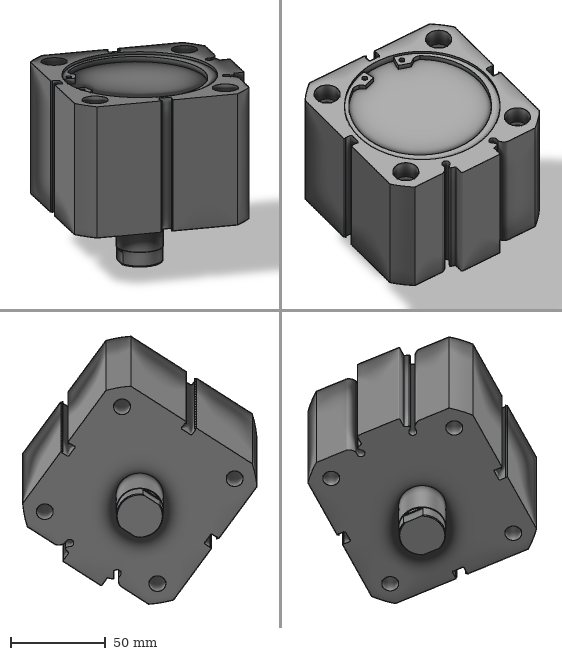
import cadquery as cq
import math

WIDTH = 96.5
HALF = WIDTH / 2
HEIGHT = 72.4
TOTAL_HEIGHT = 102.5
CORNER_RADIUS = 61.9
RAIL_WIDTH = 24.8
RAIL_RISE = 5.5
RAIL_FILLET = 0.6
BORE_RADIUS = 41.0

LIP_TOP = (15.0, 47.3)
LIP_TIP = (15.3, 46.7)
LIP_UNDERSIDE = (15.2, 46.2)
LIP_ROOT = (14.7, 45.4)
GROOVE_X = 15.2
GROOVE_Y = 43.2
GROOVE_RADIUS = 2.0
GROOVE_SHOULDER_Y = 44.7
SHOULDER_MIDDLE = (18.7, 46.9)
SHOULDER_END_X = 21.1

SLOT_WIDTH = 6.7
SLOT_DEPTH = 4.8
SLOT_FILLET = 0.7
MOUTH_WIDTH = 5.1
MOUTH_ROUND = 0.7
LIP_THICKNESS = 0.9

HOLE_PITCH = 72.0
HOLE_DIAMETER = 8.8
COUNTERBORE_DIAMETER = 13.6
COUNTERBORE_DEPTH = 10.2

RING_DEPTH = 1.4
RING_THICKNESS = 2.9
RING_INNER_RADIUS = 37.6
RING_OFFSET = 1.9
EAR_NECK_X = 21.6
EAR_NECK_LOW = (19.5, -33.2)
EAR_NECK_END = (17.4, -32.9)
EAR_OUTER_CORNER = (14.7, -30.9)
EAR_INNER_CORNER = (8.0, -33.2)
EAR_FOOT_X = 9.5
EAR_HOLE = (12.0, -35.6)
EAR_HOLE_DIAMETER = 2.9
COVER_THICKNESS = 10.2

ROD_RADIUS = 12.5
ROD_LENGTH = TOTAL_HEIGHT - HEIGHT
SHANK_LENGTH = 21.7
TIP_RADIUS = 12.3
TIP_CHAMFER_HEIGHT = 0.7
TIP_CHAMFER_WIDTH = 0.4
FLAT_OFFSET = 11.0
FLAT_START = 23.0
FLAT_STEP = 0.6

ring_top = HEIGHT - RING_DEPTH
ring_bottom = ring_top - RING_THICKNESS
cover_bottom = ring_bottom - COVER_THICKNESS


def rail_groove(side):
    """Undercut groove between the rail and the block; side is 1 for +X, -1 for -X."""
    diagonal = GROOVE_RADIUS * math.sqrt(0.5)

    def at(x, y):
        return (side * x, y)

    profile = (
        cq.Workplane("XY")
        .moveTo(*at(RAIL_WIDTH / 2, HALF))
        .lineTo(*at(*LIP_TOP))
        .threePointArc(at(*LIP_TIP), at(*LIP_UNDERSIDE))
        .lineTo(*at(*LIP_ROOT))
        .lineTo(*at(GROOVE_X - diagonal, GROOVE_Y + diagonal))
        .threePointArc(
            at(GROOVE_X - diagonal, GROOVE_Y - diagonal),
            at(GROOVE_X, GROOVE_Y - GROOVE_RADIUS),
        )
        .threePointArc(
            at(GROOVE_X + diagonal, GROOVE_Y - diagonal),
            at(GROOVE_X + GROOVE_RADIUS, GROOVE_Y),
        )
        .lineTo(*at(GROOVE_X + GROOVE_RADIUS, GROOVE_SHOULDER_Y))
        .threePointArc(at(*SHOULDER_MIDDLE), at(SHOULDER_END_X, HALF))
        .close()
    )
    return profile.extrude(HEIGHT)


def sensor_slot(angle):
    """Slot with a rounded, narrowed mouth; drawn on -Y, then turned about Z."""
    face = -HALF
    mouth = MOUTH_WIDTH / 2
    channel = (
        cq.Workplane("XY")
        .center(0, face + (LIP_THICKNESS + SLOT_DEPTH) / 2)
        .rect(SLOT_WIDTH, SLOT_DEPTH - LIP_THICKNESS)
        .extrude(HEIGHT)
        .edges("|Z and >Y")
        .fillet(SLOT_FILLET)
    )
    opening = (
        cq.Workplane("XY")
        .moveTo(-mouth - MOUTH_ROUND, face)
        .radiusArc((-mouth, face + MOUTH_ROUND), MOUTH_ROUND)
        .lineTo(-mouth, face + LIP_THICKNESS)
        .lineTo(mouth, face + LIP_THICKNESS)
        .lineTo(mouth, face + MOUTH_ROUND)
        .radiusArc((mouth + MOUTH_ROUND, face), MOUTH_ROUND)
        .close()
        .extrude(HEIGHT)
    )
    return channel.union(opening).rotate((0, 0, 0), (0, 0, 1), angle)


def make_housing():
    block = (
        cq.Workplane("XY")
        .rect(WIDTH, WIDTH)
        .extrude(HEIGHT)
        .intersect(cq.Workplane("XY").circle(CORNER_RADIUS).extrude(HEIGHT))
    )
    rail = (
        cq.Workplane("XY")
        .center(0, HALF)
        .rect(RAIL_WIDTH, 2 * RAIL_RISE)
        .extrude(HEIGHT)
        .edges("|Z and >Y")
        .fillet(RAIL_FILLET)
    )
    body = block.union(rail)
    for side in (-1, 1):
        body = body.cut(rail_groove(side))
    for angle in (-90, 0, 90):
        body = body.cut(sensor_slot(angle))
    body = (
        body.faces(">Z")
        .workplane(origin=(0, 0, HEIGHT))
        .rect(HOLE_PITCH, HOLE_PITCH, forConstruction=True)
        .vertices()
        .cboreHole(HOLE_DIAMETER, COUNTERBORE_DIAMETER, COUNTERBORE_DEPTH)
    )
    bore = cq.Workplane("XY", origin=(0, 0, cover_bottom)).circle(BORE_RADIUS).extrude(HEIGHT - cover_bottom)
    rod_hole = cq.Workplane("XY").circle(ROD_RADIUS).extrude(cover_bottom)
    return body.cut(bore).cut(rod_hole)


def make_cover():
    return cq.Workplane("XY", origin=(0, 0, cover_bottom)).circle(BORE_RADIUS).extrude(COVER_THICKNESS)


def mirrored(point):
    return (-point[0], point[1])


def make_retaining_ring():
    """Open ring, its eccentric inner edge running into an ear at each end."""
    neck = (EAR_NECK_X, -RING_OFFSET - math.sqrt(RING_INNER_RADIUS**2 - EAR_NECK_X**2))
    foot = (EAR_FOOT_X, -math.sqrt(BORE_RADIUS**2 - EAR_FOOT_X**2))
    return (
        cq.Workplane("XY", origin=(0, 0, ring_bottom))
        .moveTo(*foot)
        .threePointArc((0, BORE_RADIUS), mirrored(foot))
        .lineTo(*mirrored(EAR_INNER_CORNER))
        .lineTo(*mirrored(EAR_OUTER_CORNER))
        .lineTo(*mirrored(EAR_NECK_END))
        .threePointArc(mirrored(EAR_NECK_LOW), mirrored(neck))
        .threePointArc((0, RING_INNER_RADIUS - RING_OFFSET), neck)
        .threePointArc(EAR_NECK_LOW, EAR_NECK_END)
        .lineTo(*EAR_OUTER_CORNER)
        .lineTo(*EAR_INNER_CORNER)
        .close()
        .pushPoints([EAR_HOLE, mirrored(EAR_HOLE)])
        .circle(EAR_HOLE_DIAMETER / 2)
        .extrude(RING_THICKNESS)
    )


def make_rod():
    shank_step = ROD_RADIUS - TIP_RADIUS
    rod = (
        cq.Workplane("XZ")
        .polyline([
            (0, cover_bottom),
            (ROD_RADIUS, cover_bottom),
            (ROD_RADIUS, -SHANK_LENGTH),
            (TIP_RADIUS, -SHANK_LENGTH - shank_step),
            (TIP_RADIUS, -ROD_LENGTH + TIP_CHAMFER_HEIGHT),
            (TIP_RADIUS - TIP_CHAMFER_WIDTH, -ROD_LENGTH),
            (0, -ROD_LENGTH),
        ])
        .close()
        .revolve(360, (0, 0, 0), (0, 1, 0))
    )
    step_edge = FLAT_OFFSET + FLAT_STEP
    slope = ROD_RADIUS - step_edge
    for side in (-1, 1):
        flat = (
            cq.Workplane("YZ")
            .polyline([
                (side * FLAT_OFFSET, -ROD_LENGTH),
                (side * FLAT_OFFSET, -FLAT_START),
                (side * step_edge, -FLAT_START),
                (side * ROD_RADIUS, -FLAT_START + slope),
                (side * ROD_RADIUS, -ROD_LENGTH),
            ])
            .close()
            .extrude(ROD_RADIUS, both=True)
        )
        rod = rod.cut(flat)
    return rod


housing = make_housing()
cover = make_cover()
retaining_ring = make_retaining_ring()
rod = make_rod()

result = cq.Compound.makeCompound([
    housing.val(),
    cover.val(),
    retaining_ring.val(),
    rod.val(),
])